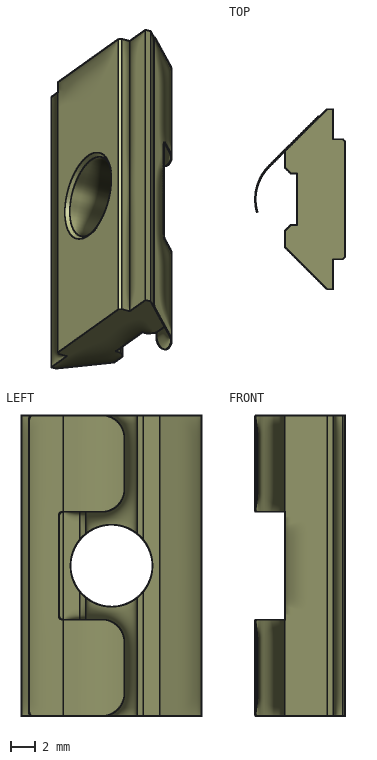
import cadquery as cq
import math

length = 25.0
half_width = 7.5
back_step = 1.0
rib_half_width = 5.0
rib_chamfer = 0.2
rim_front_x = -1.5
front_x = -5.0
front_half_width = 4.0
groove_depth = 1.0
groove_half_width = 2.12
groove_chamfer = 0.5
hole_diameter = 6.8
hole_chamfer = 0.3

spring_front_x = -7.5
sheet = 0.08
spring_root_y = 6.82
tip_angle = 16.0
tip_radius = 1.88
small_radius = 0.38
notch_half_height = 4.48
notch_y = 4.35


def make_block():
    half = [
        (0, rib_half_width),
        (-back_step, rib_half_width),
        (-back_step, half_width),
        (rim_front_x, half_width),
        (front_x, front_half_width),
        (front_x, groove_half_width + groove_chamfer),
        (front_x + groove_chamfer, groove_half_width),
        (front_x + groove_depth, groove_half_width),
    ]
    mirrored = [(x, -y) for x, y in reversed(half)]
    body = cq.Workplane("XY").polyline(half + mirrored).close().extrude(length / 2, both=True)
    body = body.edges("|Z and >X").chamfer(rib_chamfer)
    hole = cq.Workplane("YZ").circle(hole_diameter / 2).extrude(length, both=True)
    body = body.cut(hole)
    return body.faces(">X").edges("%CIRCLE").chamfer(hole_chamfer)


def make_spring():
    flank_offset = front_x - front_half_width
    diagonal = math.sqrt(0.5)
    outer_radius = (diagonal * (spring_front_x - flank_offset) + sheet) / (1 - diagonal)
    inner_radius = outer_radius - sheet
    center_x = spring_front_x + outer_radius

    def on_curl(radius, degrees):
        angle = math.radians(degrees)
        return center_x + radius * math.cos(angle), radius * math.sin(angle)

    bend_angle = 135
    end_angle = 180 + tip_angle
    middle_angle = (bend_angle + end_angle) / 2
    root_inner = (spring_root_y + flank_offset, spring_root_y)
    root_outer = (root_inner[0] - sheet * diagonal, root_inner[1] + sheet * diagonal)
    strip = (
        cq.Workplane("XY")
        .moveTo(*root_inner)
        .lineTo(*on_curl(inner_radius, bend_angle))
        .threePointArc(on_curl(inner_radius, middle_angle), on_curl(inner_radius, end_angle))
        .lineTo(*on_curl(outer_radius, end_angle))
        .threePointArc(on_curl(outer_radius, middle_angle), on_curl(outer_radius, bend_angle))
        .lineTo(*root_outer)
        .close()
        .extrude(length / 2, both=True)
    )

    flank_plane = cq.Plane(
        origin=(notch_y + flank_offset, notch_y, 0), xDir=(-1, -1, 0), normal=(-1, 1, 0)
    )
    notch_length = length / 2
    notch = (
        cq.Workplane(flank_plane)
        .center(notch_length / 2, 0)
        .rect(notch_length, 2 * notch_half_height)
        .extrude(half_width, both=True)
    )
    strip = strip.cut(notch)

    solid = strip.val()
    if solid.ShapeType() == "Compound":
        solid = solid.Solids()[0]
    flank_corners = [
        edge for edge in solid.Edges()
        if edge.geomType() == "LINE" and edge.Length() < 2 * sheet and edge.Center().y > 0
    ]
    solid = solid.fillet(small_radius, flank_corners)

    tip_y = on_curl(outer_radius, end_angle)[1]
    tab_height = length / 2 - notch_half_height
    spring = cq.Workplane(solid)
    for side in (-1, 1):
        for end in (-1, 1):
            tab_middle = side * (notch_half_height + tab_height / 2)
            corner_z = tab_middle + end * tab_height / 2
            waste = (
                cq.Workplane("YZ", origin=(0, tip_y, corner_z))
                .rect(2 * tip_radius, 2 * tip_radius)
                .extrude(2 * spring_front_x)
            )
            keep = (
                cq.Workplane("YZ", origin=(0, tip_y + tip_radius, corner_z - end * tip_radius))
                .circle(tip_radius)
                .extrude(2 * spring_front_x)
            )
            spring = spring.cut(waste.cut(keep))
    return spring


block = make_block()
spring = make_spring()
result = cq.Compound.makeCompound([block.val(), spring.val()])